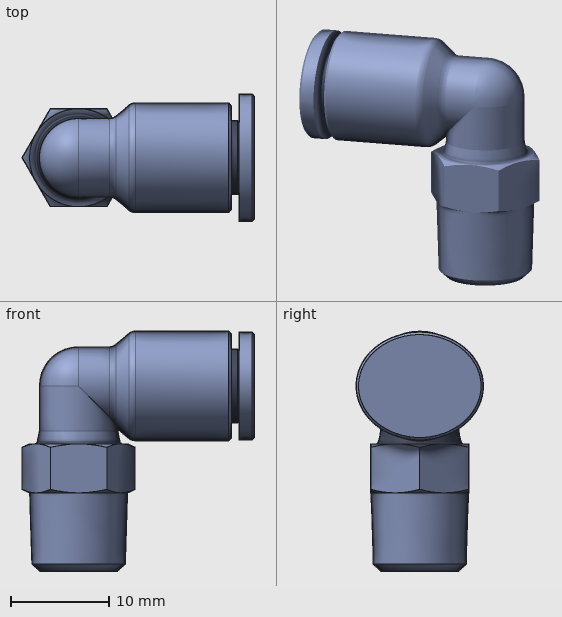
import cadquery as cq
import math


socket_axis_height = 18.9
socket_end = 17.95

thread_length = 8.0
thread_top_radius = 5.0
thread_taper = 1 / 32
thread_tip_height = 0.75
thread_tip_radius = 3.95

hex_across_flats = 10.0
hex_height = 5.0
hex_chamfer_angle = 25.0
hex_chamfer_radius = hex_across_flats / 2
hex_corner_radius = hex_chamfer_radius / math.cos(math.radians(30))
hex_top = thread_length + hex_height

elbow_radius = 4.0
collar_height = 1.33
collar_radius = 4.27
collar_fillet = 0.25

sleeve_radius = 5.6
sleeve_start = 3.15
sleeve_end = 15.6
sleeve_chamfer = 0.3
shoulder_angle = 40.0
shoulder_fillet = 1.0

neck_radius = 3.78
neck_chamfer = 0.15
ring_thickness = 1.58
ring_start = socket_end - ring_thickness
ring_width = 13.0
ring_height = 11.0
ring_chamfer = 0.25


def make_thread():
    body_radius = thread_top_radius - thread_taper * (thread_length - thread_tip_height)
    profile = (
        cq.Workplane("XZ")
        .lineTo(thread_tip_radius, 0)
        .lineTo(body_radius, thread_tip_height)
        .lineTo(thread_top_radius, thread_length)
        .lineTo(0, thread_length)
        .close()
    )
    return profile.revolve(360, (0, 0, 0), (0, 1, 0))


def make_hexagon():
    prism = (
        cq.Workplane("XY", origin=(0, 0, thread_length))
        .polygon(6, 2 * hex_corner_radius)
        .extrude(hex_height)
    )
    corner_drop = (hex_corner_radius - hex_chamfer_radius) * math.tan(math.radians(hex_chamfer_angle))
    envelope = (
        cq.Workplane("XZ")
        .moveTo(0, thread_length)
        .lineTo(hex_chamfer_radius, thread_length)
        .lineTo(hex_corner_radius, thread_length + corner_drop)
        .lineTo(hex_corner_radius, hex_top - corner_drop)
        .lineTo(hex_chamfer_radius, hex_top)
        .lineTo(0, hex_top)
        .close()
        .revolve(360, (0, 0, 0), (0, 1, 0))
    )
    return prism.intersect(envelope)


def make_collar():
    flare = math.atan2(collar_radius - elbow_radius, collar_height)
    tangent_length = collar_fillet * math.tan(math.pi / 4 - flare / 2)
    arc_center_x = collar_radius + tangent_length
    arc_center_z = hex_top + collar_fillet
    mid_angle = (math.pi / 2 - flare) / 2 + flare
    profile = (
        cq.Workplane("XZ")
        .moveTo(0, hex_top)
        .lineTo(arc_center_x, hex_top)
        .threePointArc(
            (
                arc_center_x - collar_fillet * math.cos(mid_angle),
                arc_center_z - collar_fillet * math.sin(mid_angle),
            ),
            (
                arc_center_x - collar_fillet * math.cos(flare),
                arc_center_z - collar_fillet * math.sin(flare),
            ),
        )
        .lineTo(elbow_radius, hex_top + collar_height)
        .lineTo(0, hex_top + collar_height)
        .close()
    )
    return profile.revolve(360, (0, 0, 0), (0, 1, 0))


def make_elbow():
    leg = (
        cq.Workplane("XY", origin=(0, 0, hex_top))
        .circle(elbow_radius)
        .extrude(socket_axis_height - hex_top)
    )
    arm = (
        cq.Workplane("YZ", origin=(0, 0, socket_axis_height))
        .circle(elbow_radius)
        .extrude(sleeve_start)
    )
    bend = cq.Workplane("XY", origin=(0, 0, socket_axis_height)).sphere(elbow_radius)
    return leg.union(arm).union(bend)


def make_sleeve():
    angle = math.radians(shoulder_angle)
    half = angle / 2
    arc_run = shoulder_fillet * math.sin(angle)
    arc_rise = shoulder_fillet * (1 - math.cos(angle))
    half_run = shoulder_fillet * math.sin(half)
    half_rise = shoulder_fillet * (1 - math.cos(half))
    cone_rise = sleeve_radius - elbow_radius - 2 * arc_rise
    cone_start = sleeve_start + arc_run
    cone_end = cone_start + cone_rise / math.tan(angle)
    shoulder_end = cone_end + arc_run
    profile = (
        cq.Workplane("XZ", origin=(0, 0, socket_axis_height))
        .moveTo(sleeve_start, 0)
        .lineTo(sleeve_start, elbow_radius)
        .threePointArc(
            (sleeve_start + half_run, elbow_radius + half_rise),
            (cone_start, elbow_radius + arc_rise),
        )
        .lineTo(cone_end, sleeve_radius - arc_rise)
        .threePointArc(
            (shoulder_end - half_run, sleeve_radius - half_rise),
            (shoulder_end, sleeve_radius),
        )
        .lineTo(sleeve_end - sleeve_chamfer, sleeve_radius)
        .lineTo(sleeve_end, sleeve_radius - sleeve_chamfer)
        .lineTo(sleeve_end, 0)
        .close()
    )
    return profile.revolve(360, (0, 0, 0), (1, 0, 0))


def make_neck():
    return (
        cq.Workplane("YZ", origin=(sleeve_end, 0, socket_axis_height))
        .circle(neck_radius)
        .extrude(ring_start - sleeve_end)
        .faces(">X")
        .chamfer(neck_chamfer)
    )


def make_release_ring():
    return (
        cq.Workplane("YZ", origin=(ring_start, 0, socket_axis_height))
        .ellipse(ring_width / 2, ring_height / 2)
        .extrude(ring_thickness)
        .faces(">X")
        .chamfer(ring_chamfer)
    )


result = (
    make_thread()
    .union(make_hexagon())
    .union(make_collar())
    .union(make_elbow())
    .union(make_sleeve())
    .union(make_neck())
    .union(make_release_ring())
)